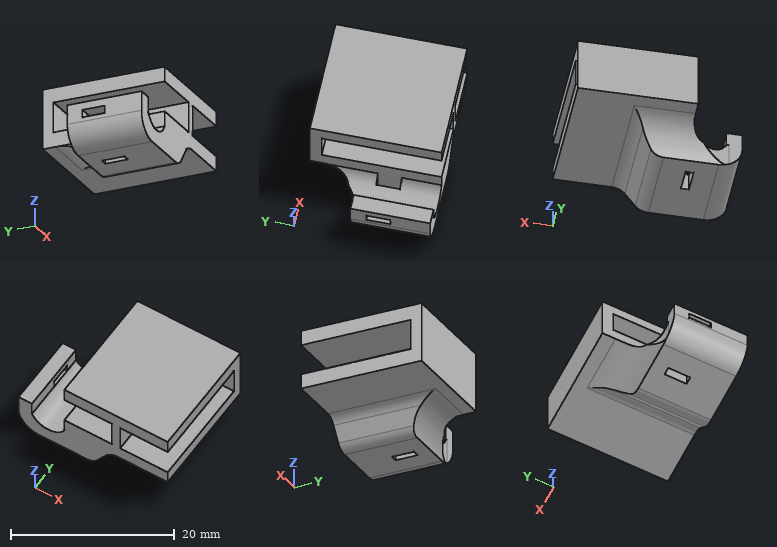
import cadquery as cq
import math

length = 21.7
depth = 16.5
height = 11.5

block_length = 15.02
wall = 2.0
slot_height = 4.0
back_wall = 1.5
web = 1.2
block_left = length - block_length
block_bottom = height - 2 * wall - slot_height
slot_floor = block_bottom + wall

hook_depth = 10.0
lip = 1.97
hook_top = slot_floor
hook_corner_radius = 3.0
hook_foot_right = 10.87
slant_top_right = 13.37
slant_radius = 2.0
groove_sag = 1.48

blend_radius = 5.0
underside_blend_end = 14.75

strap_front = 5.0
strap_width = 3.0
strap_thickness = 1.0


def box(x0, x1, y0, y1, z0, z1):
    return cq.Workplane("XY").box(x1 - x0, y1 - y0, z1 - z0, centered=False).translate((x0, y0, z0))


def make_block():
    block = box(block_left, length, 0, depth, block_bottom, height)
    slot_back = depth - back_wall
    slot_top = slot_floor + slot_height
    web_left = block_left + (block_length - web) / 2
    for x0, x1 in ((block_left, web_left), (web_left + web, length)):
        block = block.cut(box(x0, x1, 0, slot_back, slot_floor, slot_top))
    return block


def make_hook_profile():
    """Solid with the hook section, running the full depth."""
    slant_angle = math.atan2(block_bottom, slant_top_right - hook_foot_right)
    tangent = slant_radius * math.tan(slant_angle / 2)
    along_x = tangent * math.cos(slant_angle)
    along_z = tangent * math.sin(slant_angle)
    arc_45 = hook_corner_radius * (1 - math.sqrt(0.5))
    middle_x = slant_radius * math.sin(slant_angle / 2)
    middle_z = slant_radius * (1 - math.cos(slant_angle / 2))
    foot_tangent = hook_foot_right - tangent
    top_tangent = slant_top_right + tangent
    profile = (
        cq.Workplane("XZ")
        .moveTo(0, hook_top)
        .lineTo(0, hook_corner_radius)
        .threePointArc((arc_45, arc_45), (hook_corner_radius, 0))
        .lineTo(foot_tangent, 0)
        .threePointArc((foot_tangent + middle_x, middle_z), (hook_foot_right + along_x, along_z))
        .lineTo(slant_top_right - along_x, block_bottom - along_z)
        .threePointArc((top_tangent - middle_x, block_bottom - middle_z), (top_tangent, block_bottom))
        .lineTo(top_tangent, hook_top)
        .lineTo(block_left, hook_top)
        .lineTo(block_left, block_bottom)
        .threePointArc(((lip + block_left) / 2, block_bottom - groove_sag), (lip, block_bottom))
        .lineTo(lip, hook_top)
        .close()
    )
    return profile.extrude(-depth)


def cut_hook_back(hook):
    """Trim the back of the hook to concave curves running into the block."""
    side_axis = (block_left - blend_radius, hook_depth + blend_radius)
    side_cut = cq.Workplane("XY").center(*side_axis).circle(blend_radius).extrude(block_bottom)
    corner_cut = box(0, side_axis[0], hook_depth, depth, 0, hook_top)
    lip_cut = box(0, block_left, hook_depth, depth, block_bottom, hook_top)
    behind_cut = box(0, block_left, side_axis[1], depth, 0, hook_top)

    underside_axis = (underside_blend_end, block_bottom - blend_radius)
    underside_cut = cq.Workplane("YZ").center(*underside_axis).circle(blend_radius).extrude(length)
    below_cut = box(0, length, underside_blend_end, depth, 0, block_bottom)

    for cutter in (side_cut, corner_cut, lip_cut, behind_cut, underside_cut, below_cut):
        hook = hook.cut(cutter)
    return hook


def cut_strap_openings(hook):
    strap_back = strap_front + strap_width
    lip_window = box(0, block_left, strap_front, strap_back, block_bottom, block_bottom + strap_thickness)
    floor_slot = box(block_left - strap_thickness, block_left, strap_front, strap_back, 0, block_bottom)
    return hook.cut(lip_window).cut(floor_slot)


hook_body = cut_strap_openings(cut_hook_back(make_hook_profile()))
result = make_block().union(hook_body)